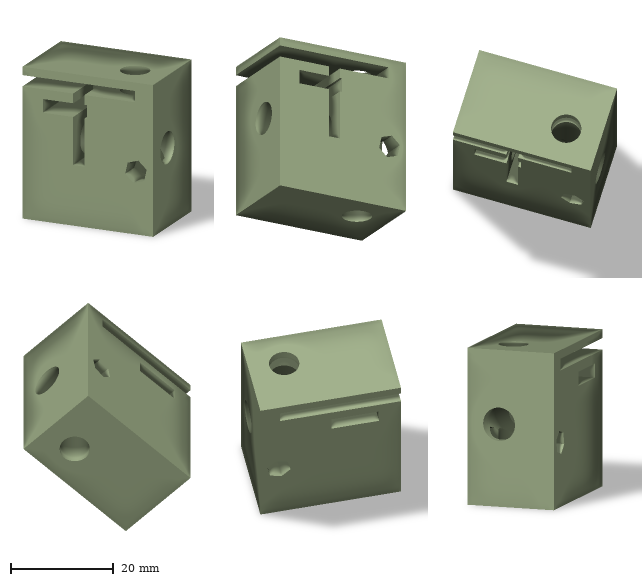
import cadquery as cq

LENGTH = 28.07
WIDTH = 17.95
HEIGHT = 31.11

PLATE_THICKNESS = 1.72
SLIT_HEIGHT = 2.31
HINGE_THICKNESS = 3.95

WINDOW_LEFT = 4.38
WINDOW_LENGTH = 9.46
WINDOW_HEIGHT = 2.80
BRIDGE_THICKNESS = 2.0

CROSS_HOLE_DIAMETER = 6.61
CROSS_HOLE_Y = 6.60
CROSS_HOLE_Z = 16.36

POCKET_LEFT = 10.90
POCKET_LENGTH = 2.40
POCKET_DEPTH = 9.15
POCKET_FLOOR_Z = 12.41

VERTICAL_HOLE_DIAMETER = 5.91
VERTICAL_HOLE_X = 20.97
VERTICAL_HOLE_Y = 7.05

HEX_CORNER_DIAMETER = 4.82
HEX_X = 24.36
HEX_Z = 12.84
HEX_TILT = 17.2

slit_top_z = HEIGHT - PLATE_THICKNESS
slit_floor_z = slit_top_z - SLIT_HEIGHT
slit_length = LENGTH - HINGE_THICKNESS
window_top_z = slit_floor_z - BRIDGE_THICKNESS
window_floor_z = window_top_z - WINDOW_HEIGHT


def box_from(corner, size):
    """Box that grows from its left, front, bottom corner."""
    return cq.Workplane("XY").box(*size, centered=False).translate(corner)


def slit():
    return box_from((0, 0, slit_floor_z), (slit_length, WIDTH, SLIT_HEIGHT))


def window():
    return box_from((WINDOW_LEFT, 0, window_floor_z), (WINDOW_LENGTH, WIDTH, WINDOW_HEIGHT))


def pocket():
    pocket_height = slit_floor_z - POCKET_FLOOR_Z
    return box_from((POCKET_LEFT, 0, POCKET_FLOOR_Z), (POCKET_LENGTH, POCKET_DEPTH, pocket_height))


def cross_hole():
    section = cq.Workplane("YZ").center(CROSS_HOLE_Y, CROSS_HOLE_Z).circle(CROSS_HOLE_DIAMETER / 2)
    return section.extrude(LENGTH)


def vertical_hole():
    section = cq.Workplane("XY").center(VERTICAL_HOLE_X, VERTICAL_HOLE_Y).circle(VERTICAL_HOLE_DIAMETER / 2)
    return section.extrude(HEIGHT)


def hex_hole():
    prism = cq.Workplane("XZ").polygon(6, HEX_CORNER_DIAMETER).extrude(-WIDTH)
    tilted = prism.rotate((0, 0, 0), (0, -1, 0), HEX_TILT)
    return tilted.translate((HEX_X, 0, HEX_Z))


result = box_from((0, 0, 0), (LENGTH, WIDTH, HEIGHT))
for cutter in (slit(), window(), pocket(), cross_hole(), vertical_hole(), hex_hole()):
    result = result.cut(cutter)